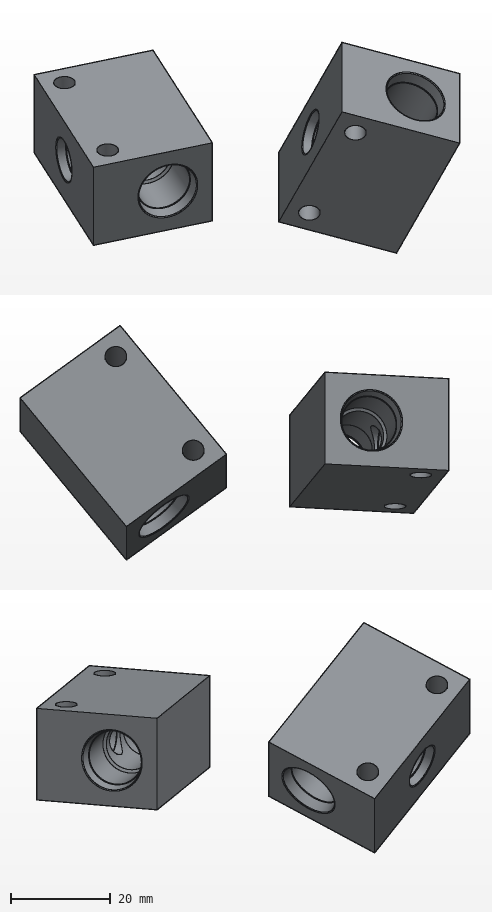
import cadquery as cq
import math

LENGTH = 34.92
WIDTH = 25.4
HEIGHT = 19.05

MOUNT_DIAMETER = 4.32
MOUNT_SPACING = 25.4
MOUNT_EDGE_DISTANCE = 4.76

BORE_EDGE_DISTANCE = 9.525
BORE_Y = WIDTH / 2 - BORE_EDGE_DISTANCE

SEAT_ANGLE = 12
CONE_ANGLE = 60

END_MOUTH_DIAMETER = 12.78
END_SEAT_DIAMETER = 12.3
END_SEAT_DEPTH = 2.22
END_MAJOR_DIAMETER = 11.11
END_THREAD_DEPTH = 11.5
END_MINOR_DIAMETER = 9.91

FRONT_MOUTH_DIAMETER = 9.5
FRONT_SEAT_DIAMETER = 9.0
FRONT_SEAT_DEPTH = 1.75
FRONT_MAJOR_DIAMETER = 7.94
FRONT_THREAD_DEPTH = 10
FRONT_MINOR_DIAMETER = 6.91


def port_cutter(mouth, seat, seat_depth, major, thread_depth, minor, length):
    """Port tool of the given diameters, with its mouth at the origin and running along +Z."""
    cone_slope = math.tan(math.radians(CONE_ANGLE))
    lead_depth = (mouth - seat) / 2 / cone_slope
    seat_end = lead_depth + seat_depth
    seat_end_radius = seat / 2 - seat_depth * math.tan(math.radians(SEAT_ANGLE))
    step_end = seat_end + seat_end_radius - major / 2
    cone_end = thread_depth + (major - minor) / 2 / cone_slope
    profile = [
        (0, 0),
        (mouth / 2, 0),
        (seat / 2, lead_depth),
        (seat_end_radius, seat_end),
        (major / 2, step_end),
        (major / 2, thread_depth),
        (minor / 2, cone_end),
        (minor / 2, length),
        (0, length),
    ]
    return cq.Workplane("XZ").polyline(profile).close().revolve(360, (0, 0, 0), (0, 1, 0))


def mounting_holes():
    hole_y = MOUNT_EDGE_DISTANCE - WIDTH / 2
    centres = [(-MOUNT_SPACING / 2, hole_y), (MOUNT_SPACING / 2, hole_y)]
    holes = cq.Workplane("XY").pushPoints(centres).circle(MOUNT_DIAMETER / 2)
    return holes.extrude(HEIGHT / 2, both=True)


def main_bore():
    """Two facing end ports whose bores meet at the middle of the block."""
    tool = port_cutter(
        END_MOUTH_DIAMETER,
        END_SEAT_DIAMETER,
        END_SEAT_DEPTH,
        END_MAJOR_DIAMETER,
        END_THREAD_DEPTH,
        END_MINOR_DIAMETER,
        LENGTH / 2,
    )
    left_port = tool.rotate((0, 0, 0), (0, 1, 0), 90).translate((-LENGTH / 2, BORE_Y, 0))
    return left_port.union(left_port.mirror("YZ"))


def front_port():
    """Port in the -Y face, reaching the axis of the main bore."""
    tool = port_cutter(
        FRONT_MOUTH_DIAMETER,
        FRONT_SEAT_DIAMETER,
        FRONT_SEAT_DEPTH,
        FRONT_MAJOR_DIAMETER,
        FRONT_THREAD_DEPTH,
        FRONT_MINOR_DIAMETER,
        WIDTH / 2 + BORE_Y,
    )
    return tool.rotate((0, 0, 0), (1, 0, 0), -90).translate((0, -WIDTH / 2, 0))


block = cq.Workplane("XY").box(LENGTH, WIDTH, HEIGHT)
result = block.cut(mounting_holes()).cut(main_bore()).cut(front_port())